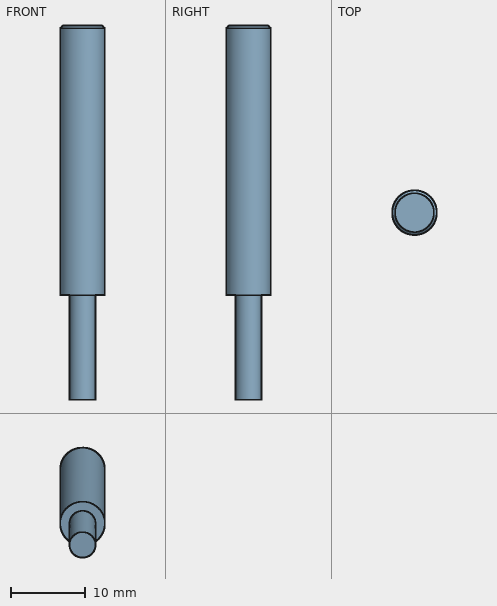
import cadquery as cq

total_length = 50.0
body_length = 36.0
body_diameter = 6.0
body_chamfer = 0.4
stem_diameter = 3.5

stem_length = total_length - body_length


def make_body():
    """Round upper body, chamfered around its top rim."""
    cylinder = cq.Workplane("XY").workplane(offset=stem_length).circle(body_diameter / 2).extrude(body_length)
    return cylinder.faces(">Z").edges().chamfer(body_chamfer)


def make_stem():
    """Thinner round stem that meets the underside of the body."""
    return cq.Workplane("XY").circle(stem_diameter / 2).extrude(stem_length)


body = make_body()
stem = make_stem()

result = cq.Compound.makeCompound([body.val(), stem.val()])